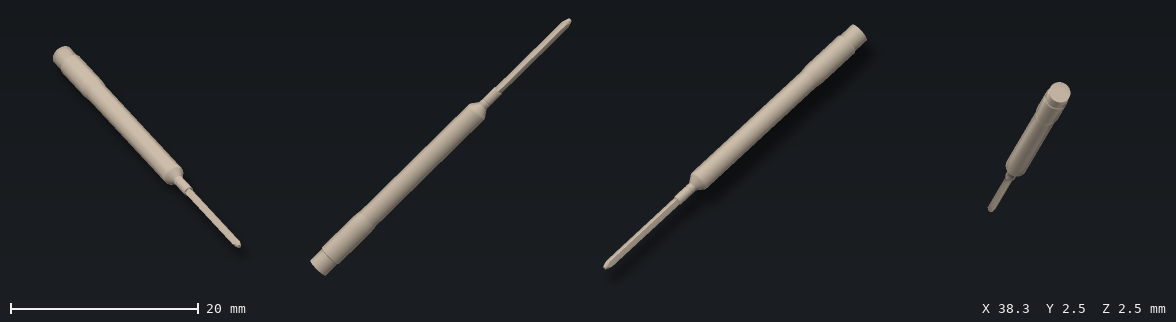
import cadquery as cq


body_radius = 1.15
collar_radius = 1.25
collar_start = 1.9
collar_lead_in = 0.1
collar_round_start = 6.6
collar_end = 7.63
nose_start = 24.05
nose_round_length = 0.23
nose_round_drop = 0.057
nose_end = 25.05
nose_end_radius = 0.6
nose_rim_width = 0.1

plunger_radius = 0.55
plunger_end = 27.35
groove_start = 25.53
groove_width = 0.23
groove_depth = 0.05

pin_half_diagonal = 0.45
total_length = 38.33
tip_length = 0.73
tip_radius = 0.21


def make_barrel():
    """Revolved barrel with a rounded collar shoulder and a conical nose."""
    shoulder_middle = (
        (collar_round_start + collar_end) / 2,
        collar_radius - (collar_radius - body_radius) / 4,
    )
    nose_middle = (
        nose_start + nose_round_length / 2,
        body_radius - nose_round_drop / 4,
    )
    cone_start = (nose_start + nose_round_length, body_radius - nose_round_drop)
    return (
        cq.Workplane("XY")
        .lineTo(0, body_radius)
        .lineTo(collar_start - collar_lead_in, body_radius)
        .lineTo(collar_start, collar_radius)
        .lineTo(collar_round_start, collar_radius)
        .threePointArc(shoulder_middle, (collar_end, body_radius))
        .lineTo(nose_start, body_radius)
        .threePointArc(nose_middle, cone_start)
        .lineTo(nose_end - nose_rim_width, nose_end_radius)
        .lineTo(nose_end, plunger_radius)
        .lineTo(nose_end, 0)
        .close()
        .revolve(360, (0, 0, 0), (1, 0, 0))
    )


def make_plunger():
    """Round plunger with one shallow V-shaped ring groove."""
    groove_end = groove_start + groove_width
    groove_middle = groove_start + groove_width / 2
    groove_radius = plunger_radius - groove_depth
    return (
        cq.Workplane("XY")
        .moveTo(nose_end, 0)
        .lineTo(nose_end, plunger_radius)
        .lineTo(groove_start, plunger_radius)
        .lineTo(groove_middle, groove_radius)
        .lineTo(groove_end, plunger_radius)
        .lineTo(plunger_end, plunger_radius)
        .lineTo(plunger_end, 0)
        .close()
        .revolve(360, (0, 0, 0), (1, 0, 0))
    )


def make_pin():
    """Square pin with its corners turned down to a blunt conical tip."""
    square_bar = (
        cq.Workplane("YZ", origin=(plunger_end, 0, 0))
        .polygon(4, 2 * pin_half_diagonal)
        .extrude(total_length - plunger_end)
    )
    tip_envelope = (
        cq.Workplane("XY")
        .moveTo(plunger_end, 0)
        .lineTo(plunger_end, pin_half_diagonal)
        .lineTo(total_length - tip_length, pin_half_diagonal)
        .lineTo(total_length, tip_radius)
        .lineTo(total_length, 0)
        .close()
        .revolve(360, (0, 0, 0), (1, 0, 0))
    )
    return square_bar.intersect(tip_envelope)


result = make_barrel().union(make_plunger()).union(make_pin())